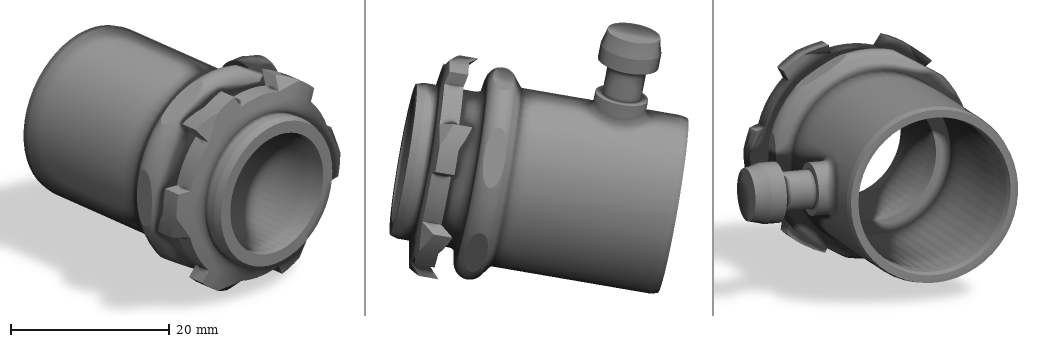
import cadquery as cq
import math


total_length = 34.6
tube_radius = 22.9 / 2
bore_radius = 20.1 / 2
bore_mouth_radius = 20.5 / 2
throat_radius = 16.2 / 2
nose_radius = 20.0 / 2
end_chamfer_length = 1.0
tube_chamfer_depth = 0.2
nose_chamfer_depth = 0.3

shoulder_start = 21.57
collar_center = 24.05
crest_radius = 1.95
collar_radius = 13.6
shoulder_blend_length = 0.4
shoulder_blend_rise = 0.19
nose_fillet = 1.0
flat_distance = 13.03
bore_depth = shoulder_start

tooth_count = 6
tooth_width = 6.44
tooth_tip_radius = 14.3
nut_root_radius = 12.6
nut_thickness = 2.46
nut_nose_end = 32.0
dish_slope = 0.175
corner_bend = 1.28

screw_x = 9.0
boss_radius = 6.8 / 2
boss_top = 13.5
boss_fillet = 0.8
stem_radius = 5.0 / 2
head_bottom = 18.0
head_shoulder = 20.0
head_radius = 7.8 / 2
head_top = 22.05
head_top_radius = 6.8 / 2
head_bulge = 0.03

oversize = 40.0
tooth_angles = [i * 360 / tooth_count for i in range(tooth_count)]


def around_x(shape, angle):
    return shape.rotate((0, 0, 0), (1, 0, 0), angle)


def revolve_about_x(profile):
    return profile.close().revolve(360, (0, 0, 0), (1, 0, 0))


def nut_front(radius):
    """X of the dished nose-side face of the locknut at a radius."""
    return nut_nose_end - dish_slope * (radius - nose_radius)


def nut_back(radius):
    return nut_front(radius) - nut_thickness



def make_tube_and_collar():
    crest_base = collar_radius - crest_radius
    diagonal = crest_radius * math.sqrt(0.5)
    shoulder_x = collar_center - diagonal
    shoulder_radius = crest_base + diagonal
    blend_radius = (shoulder_blend_length**2 + shoulder_blend_rise**2) / (2 * shoulder_blend_rise)
    shoulder_foot = (shoulder_start, tube_radius + shoulder_blend_rise)
    collar_end = collar_center + crest_radius
    profile = (
        cq.Workplane("XY")
        .moveTo(0, bore_mouth_radius)
        .lineTo(0, tube_radius - tube_chamfer_depth)
        .lineTo(end_chamfer_length, tube_radius)
        .lineTo(shoulder_start - shoulder_blend_length, tube_radius)
        .radiusArc(shoulder_foot, -blend_radius)
        .lineTo(shoulder_x, shoulder_radius)
        .threePointArc((collar_center, collar_radius), (collar_end, crest_base))
        .lineTo(collar_end, nose_radius + nose_fillet)
        .radiusArc((collar_end + nose_fillet, nose_radius), -nose_fillet)
        .lineTo(total_length - end_chamfer_length, nose_radius)
        .lineTo(total_length, nose_radius - nose_chamfer_depth)
        .lineTo(total_length, throat_radius)
        .lineTo(bore_depth, throat_radius)
        .lineTo(bore_depth, bore_radius)
        .lineTo(end_chamfer_length, bore_radius)
    )
    return revolve_about_x(profile)


def cut_wrench_flats(body):
    for angle in tooth_angles:
        beyond_flat = cq.Workplane("XY").box(2 * crest_radius, oversize, oversize)
        beyond_flat = beyond_flat.translate((collar_center, -flat_distance - oversize / 2, 0))
        body = body.cut(around_x(beyond_flat, angle))
    return body


def add_boss(body):
    base = (tube_radius + bore_radius) / 2
    boss = (
        cq.Workplane("XZ", origin=(screw_x, base, 0))
        .circle(boss_radius)
        .extrude(base - boss_top)
    )
    reach = boss_radius + boss_fillet
    foot = cq.selectors.BoxSelector(
        (screw_x - reach, base, -reach),
        (screw_x + reach, tube_radius + boss_fillet, reach),
    )
    return body.union(boss).edges(foot).edges("not %CIRCLE").fillet(boss_fillet)


def make_screw():
    profile = (
        cq.Workplane("XY")
        .moveTo(0, boss_top)
        .lineTo(stem_radius, boss_top)
        .lineTo(stem_radius, head_bottom)
        .lineTo(head_radius, head_bottom)
        .lineTo(head_radius, head_shoulder)
        .sagittaArc((head_top_radius, head_top), head_bulge)
        .lineTo(0, head_top)
        .close()
    )
    screw = profile.revolve(360, (0, 0, 0), (0, 1, 0))
    return screw.translate((screw_x, 0, 0))



half_width = tooth_width / 2
root_reach = math.sqrt(nut_root_radius**2 - half_width**2)
tip_reach = math.sqrt(tooth_tip_radius**2 - half_width**2)

bend_tip = cq.Vector(nut_back(tooth_tip_radius), -tooth_tip_radius, 0)
bend_foot = cq.Vector(nut_back(nut_root_radius), -root_reach, -half_width)
bent_corner = cq.Vector(nut_back(tooth_tip_radius) - corner_bend, -tip_reach, -half_width)


def dished_blank():
    """Dished plate, wider than the finished locknut."""
    inner = (throat_radius + nose_radius) / 2
    outer = tooth_tip_radius + 1
    profile = (
        cq.Workplane("XY")
        .moveTo(nut_back(inner), inner)
        .lineTo(nut_back(outer), outer)
        .lineTo(nut_front(outer), outer)
        .lineTo(nut_front(inner), inner)
    )
    return revolve_about_x(profile)


def bend_prism():
    """Prism along X that clears the whole tooth corner beyond the bend."""
    bend = bend_tip - bend_foot
    far_end = bend_tip + bend
    far_side = bend_foot + cq.Vector(0, -tooth_width, -half_width)
    corners = [(point.y, point.z) for point in (far_end, bend_foot, far_side)]
    return cq.Workplane("YZ").polyline(corners).close().extrude(oversize)


def corner_column():
    """Prism along X over the tooth corner beyond the bend."""
    middle_angle = math.asin(half_width / tooth_tip_radius) / 2
    arc_middle = (
        -tooth_tip_radius * math.cos(middle_angle),
        -tooth_tip_radius * math.sin(middle_angle),
    )
    return (
        cq.Workplane("YZ")
        .moveTo(bend_tip.y, bend_tip.z)
        .threePointArc(arc_middle, (bent_corner.y, bent_corner.z))
        .lineTo(bend_foot.y, bend_foot.z)
        .close()
        .extrude(oversize)
    )


def nose_side_of_bend(shift):
    """Block on the +X side of the bent corner's back plane, moved by shift along X."""
    normal = (bend_foot - bend_tip).cross(bent_corner - bend_tip).normalized()
    if normal.x < 0:
        normal = -normal
    plane = cq.Plane(bend_tip + cq.Vector(shift, 0, 0), bend_foot - bend_tip, normal)
    return cq.Workplane(plane).rect(oversize, oversize).extrude(oversize)


def make_locknut():
    outline = cq.Workplane("YZ").circle(nut_root_radius).extrude(oversize)
    tip_cylinder = cq.Workplane("YZ").circle(tooth_tip_radius).extrude(oversize)
    bars = [
        around_x(cq.Workplane("YZ").rect(oversize, tooth_width).extrude(oversize), angle)
        for angle in tooth_angles[: tooth_count // 2]
    ]
    for bar in bars:
        outline = outline.union(bar.intersect(tip_cylinder))
    nut = outline.intersect(dished_blank())
    relief = bend_prism().intersect(nose_side_of_bend(nut_thickness))
    for angle in tooth_angles:
        nut = nut.cut(around_x(relief, angle))
    return nut


def make_tooth_point():
    """Wedge that stands on the back of a tooth at its bent corner."""
    column = corner_column().intersect(nose_side_of_bend(0))
    back_radius = 2 * tooth_tip_radius
    profile = (
        cq.Workplane("XY")
        .moveTo(nut_back(0), 0)
        .lineTo(nut_back(back_radius), back_radius)
        .lineTo(oversize, back_radius)
        .lineTo(oversize, 0)
    )
    return column.cut(revolve_about_x(profile))



connector = cut_wrench_flats(add_boss(make_tube_and_collar()))
connector = connector.union(make_screw()).union(make_locknut())
tooth_point = make_tooth_point()
tooth_points = [around_x(tooth_point, angle).solids().val() for angle in tooth_angles]

result = cq.Compound.makeCompound([connector.solids().val(), *tooth_points])